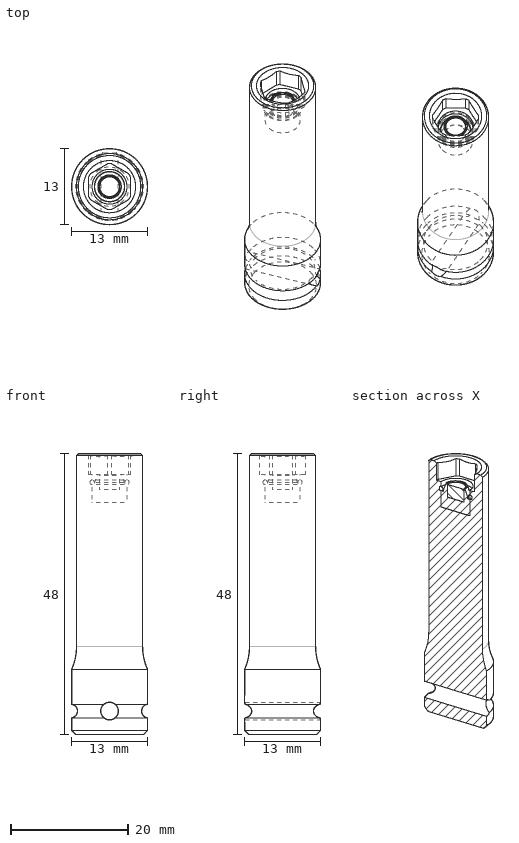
import cadquery as cq
import math

total_length = 48.0
collar_radius = 6.505
neck_radius = 5.65
base_chamfer = 0.7
top_chamfer = 0.35
collar_top = 11.15
neck_bottom = 15.05

groove_height = 4.05
groove_width = 2.3
groove_depth = 1.0
pin_hole_diameter = 3.0

hex_across_flats = 7.1
hex_corner_radius = 3.95
hex_depth = 3.55
lead_in_radius = 4.45
lead_in_angle = 30.0

bore_radius = 3.0
bore_depth = 4.8

wire_radius = 0.4
ring_depth = 1.35

nose_tip_radius = 2.0
ring_clearance = 0.05
cup_mouth_radius = 1.8
cup_radius = 1.7
magnet_recess = 0.15
magnet_length = 2.4

hex_floor = total_length - hex_depth
bore_floor = hex_floor - bore_depth
ring_height = hex_floor - ring_depth
holder_top = hex_floor
magnet_top = holder_top - magnet_recess
magnet_bottom = magnet_top - magnet_length


def revolve_profile(profile):
    """Revolve a closed radius-height profile about the Z axis."""
    return profile.close().revolve(360, (0, 0, 0), (0, 1, 0))


def flare_midpoint():
    """Middle of the arc that leaves the neck vertically and widens to the collar."""
    rise = neck_bottom - collar_top
    step = collar_radius - neck_radius
    flare_radius = (rise**2 + step**2) / (2 * step)
    half_angle = math.asin(rise / flare_radius) / 2
    radius = neck_radius + flare_radius * (1 - math.cos(half_angle))
    return radius, neck_bottom - flare_radius * math.sin(half_angle)


def make_socket_blank():
    return revolve_profile(
        cq.Workplane("XZ")
        .moveTo(0, 0)
        .lineTo(collar_radius - base_chamfer, 0)
        .lineTo(collar_radius, base_chamfer)
        .lineTo(collar_radius, groove_height - groove_width / 2)
        .threePointArc(
            (collar_radius - groove_depth, groove_height),
            (collar_radius, groove_height + groove_width / 2),
        )
        .lineTo(collar_radius, collar_top)
        .threePointArc(flare_midpoint(), (neck_radius, neck_bottom))
        .lineTo(neck_radius, total_length - top_chamfer)
        .lineTo(neck_radius - top_chamfer, total_length)
        .lineTo(0, total_length)
    )


def make_pin_hole():
    return (
        cq.Workplane("XZ")
        .center(0, groove_height)
        .circle(pin_hole_diameter / 2)
        .extrude(collar_radius, both=True)
    )


def make_hex_recess():
    """Hexagonal prism pointing along Y, its corners trimmed by a cylinder."""
    across_corners = hex_across_flats / math.cos(math.radians(30))
    floor = cq.Workplane("XY", origin=(0, 0, hex_floor))
    hexagon = floor.transformed(rotate=(0, 0, 90)).polygon(6, across_corners).extrude(hex_depth)
    return hexagon.intersect(floor.circle(hex_corner_radius).extrude(hex_depth))


def make_lead_in():
    depth = lead_in_radius * math.tan(math.radians(lead_in_angle))
    return revolve_profile(
        cq.Workplane("XZ")
        .moveTo(0, total_length - depth)
        .lineTo(lead_in_radius, total_length)
        .lineTo(0, total_length)
    )


def make_bore():
    return (
        cq.Workplane("XY", origin=(0, 0, bore_floor))
        .circle(bore_radius)
        .extrude(bore_depth)
    )


def make_retaining_ring():
    """Torus whose wire is centred on the bore wall."""
    return (
        cq.Workplane("XZ")
        .center(bore_radius, ring_height)
        .circle(wire_radius)
        .revolve(360, (-bore_radius, 0, 0), (-bore_radius, 1, 0))
    )


def make_socket():
    socket = make_socket_blank().cut(make_pin_hole())
    socket = socket.cut(make_hex_recess()).cut(make_lead_in()).cut(make_bore())
    return socket.cut(make_retaining_ring())


def make_magnet_holder():
    """Plug held under the ring, with a tapered nose and an open cup for the magnet."""
    neck = bore_radius - wire_radius - ring_clearance
    shoulder = ring_height - wire_radius
    return revolve_profile(
        cq.Workplane("XZ")
        .moveTo(0, bore_floor)
        .lineTo(bore_radius, bore_floor)
        .lineTo(bore_radius, shoulder)
        .lineTo(neck, shoulder)
        .lineTo(neck, ring_height)
        .lineTo(nose_tip_radius, holder_top)
        .lineTo(cup_mouth_radius, holder_top)
        .lineTo(cup_radius, magnet_top)
        .lineTo(cup_radius, magnet_bottom)
        .lineTo(0, magnet_bottom)
    )


def make_magnet():
    return (
        cq.Workplane("XY", origin=(0, 0, magnet_bottom))
        .circle(cup_radius)
        .extrude(magnet_length)
    )


socket = make_socket()
retaining_ring = make_retaining_ring()
magnet_holder = make_magnet_holder()
magnet = make_magnet()

result = cq.Compound.makeCompound(
    [socket.val(), retaining_ring.val(), magnet_holder.val(), magnet.val()]
)